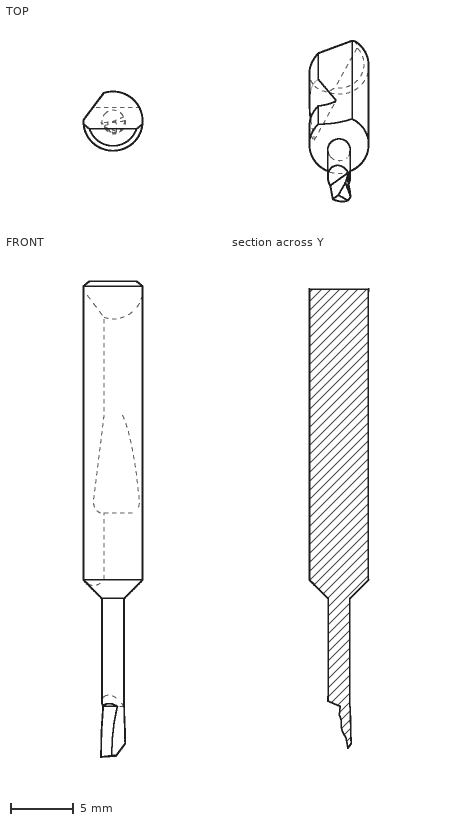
import cadquery as cq
import math

OVERALL_LENGTH = 38.1
NECK_TOP_Z = 12.7
HEAD_TOP_Z = 4.05

SHANK_RADIUS = 4.76 / 2
NECK_RADIUS = 0.9
SHANK_BOTTOM_Z = NECK_TOP_Z + SHANK_RADIUS - NECK_RADIUS
END_CHAMFER = 0.4

FLAT_DISTANCE = 1.95
FLAT_NORMAL_ANGLE = 143

BEVEL_EDGE_Y = -0.62

NOTCH_TOP_Z = 28.1
NOTCH_BOTTOM_Z = 19.55
NOTCH_DEPTH = 1.25
NOTCH_ARC_RADIUS = 0.95

TIP_RADIUS = 1.0
TIP_CUTTING_X = -0.97
TIP_RELIEF_X = -0.1
TIP_RAKE_Y = -0.07
MIDDLE_Z = 2.7
MIDDLE_RADIUS = 0.95
MIDDLE_CUTTING_X = -0.9
MIDDLE_RELIEF_X = 0.08
MIDDLE_BACK_Y = 0.22
TOP_CUTTING_X = -0.8
TOP_RELIEF_X = 0.34
TOP_BACK_Y = 0.36

BACK_CHAMFER_X = 0.17
BACK_CHAMFER_HEIGHT = 1.1
END_CLEARANCE_ANGLE = 4

CUTTER_SIZE = 4 * SHANK_RADIUS


def chord_half(radius, offset):
    """Half length of the chord lying at the given offset from the circle centre."""
    return math.sqrt(radius**2 - offset**2)


def section_corners(radius, cutting_x, relief_x, back_y):
    """Cutting, relief and back corners of a head section, all on its circle."""
    cutting = (cutting_x, -chord_half(radius, cutting_x))
    relief = (relief_x, -chord_half(radius, relief_x))
    back = (chord_half(radius, back_y), back_y)
    return cutting, relief, back


TIP_CORNERS = (
    (TIP_CUTTING_X, TIP_RAKE_Y),
    (TIP_RELIEF_X, -chord_half(TIP_RADIUS, TIP_RELIEF_X)),
    (chord_half(TIP_RADIUS, TIP_RAKE_Y), TIP_RAKE_Y),
)
MIDDLE_CORNERS = section_corners(MIDDLE_RADIUS, MIDDLE_CUTTING_X, MIDDLE_RELIEF_X, MIDDLE_BACK_Y)
TOP_CORNERS = section_corners(NECK_RADIUS, TOP_CUTTING_X, TOP_RELIEF_X, TOP_BACK_Y)


def make_turned_body():
    """Shank, cone and neck as one revolved profile."""
    return (
        cq.Workplane("XZ")
        .moveTo(0, HEAD_TOP_Z)
        .lineTo(NECK_RADIUS, HEAD_TOP_Z)
        .lineTo(NECK_RADIUS, NECK_TOP_Z)
        .lineTo(SHANK_RADIUS, SHANK_BOTTOM_Z)
        .lineTo(SHANK_RADIUS, OVERALL_LENGTH - END_CHAMFER)
        .lineTo(SHANK_RADIUS - END_CHAMFER, OVERALL_LENGTH)
        .lineTo(0, OVERALL_LENGTH)
        .close()
        .revolve(360, (0, 0, 0), (0, 1, 0))
    )


def make_flat_cutter():
    """Block outside the shank flat."""
    return (
        cq.Workplane("XY")
        .box(CUTTER_SIZE, CUTTER_SIZE, OVERALL_LENGTH, centered=(False, True, False))
        .translate((FLAT_DISTANCE, 0, NECK_TOP_Z))
        .rotate((0, 0, 0), (0, 0, 1), FLAT_NORMAL_ANGLE)
    )


def make_end_bevel_cutter():
    """Triangular prism above the 45 degree bevel of the top end."""
    outer_y = CUTTER_SIZE
    drop = outer_y - BEVEL_EDGE_Y
    return (
        cq.Workplane("YZ")
        .moveTo(BEVEL_EDGE_Y, OVERALL_LENGTH)
        .lineTo(outer_y, OVERALL_LENGTH - drop)
        .lineTo(outer_y, OVERALL_LENGTH)
        .close()
        .extrude(SHANK_RADIUS, both=True)
    )


def make_notch_cutter():
    """Notch with a long sloping wall and a quarter-round floor."""
    floor_y = SHANK_RADIUS - NOTCH_DEPTH
    arc_end_y = floor_y + NOTCH_ARC_RADIUS
    arc_start_z = NOTCH_BOTTOM_Z + NOTCH_ARC_RADIUS
    arc_inset = NOTCH_ARC_RADIUS * math.sqrt(0.5)
    return (
        cq.Workplane("YZ")
        .moveTo(SHANK_RADIUS, NOTCH_TOP_Z)
        .lineTo(floor_y, arc_start_z)
        .threePointArc((arc_end_y - arc_inset, arc_start_z - arc_inset), (arc_end_y, NOTCH_BOTTOM_Z))
        .lineTo(CUTTER_SIZE, NOTCH_BOTTOM_Z)
        .lineTo(CUTTER_SIZE, NOTCH_TOP_Z)
        .close()
        .extrude(SHANK_RADIUS, both=True)
    )


def make_neck_bevel_cutter(start, end):
    """45 degree wedge under the neck, on the left of the line from start to end."""
    direction = cq.Vector(end[0] - start[0], end[1] - start[1], 0)
    plane = cq.Plane(
        origin=(start[0], start[1], HEAD_TOP_Z),
        xDir=(-direction.y, direction.x, 0),
        normal=(direction.x, direction.y, 0),
    )
    reach = 2 * NECK_RADIUS
    return (
        cq.Workplane(plane)
        .polyline([(0, 0), (reach, 0), (reach, reach)])
        .close()
        .extrude(CUTTER_SIZE, both=True)
    )


def make_head_section(z, radius, corners):
    """Head outline at height z: relief chord, round back and rake chord."""
    cutting, relief, back = corners
    relief_angle = math.atan2(relief[1], relief[0])
    back_angle = math.atan2(back[1], back[0])
    arc_angle = (relief_angle + back_angle) / 2
    arc_middle = (radius * math.cos(arc_angle), radius * math.sin(arc_angle))
    outline = (
        cq.Workplane("XY", origin=(0, 0, z))
        .moveTo(*cutting)
        .lineTo(*relief)
        .threePointArc(arc_middle, back)
        .close()
    )
    return outline.val()


def make_back_chamfer_cutter():
    """Triangular prism below the chamfer of the back corner."""
    width = TIP_RADIUS - BACK_CHAMFER_X
    return (
        cq.Workplane("XZ")
        .moveTo(BACK_CHAMFER_X, 0)
        .line(2 * width, 2 * BACK_CHAMFER_HEIGHT)
        .line(0, -2 * BACK_CHAMFER_HEIGHT)
        .close()
        .extrude(CUTTER_SIZE, both=True)
    )


def make_end_clearance_cutter():
    """Block under the end face, which rises from the cutting corner towards +X and -Y."""
    slope = math.tan(math.radians(END_CLEARANCE_ANGLE))
    cutting_corner = TIP_CORNERS[0]
    plane = cq.Plane(
        origin=(cutting_corner[0], cutting_corner[1], 0),
        xDir=(1, 0, slope),
        normal=(slope, -slope, -1),
    )
    return cq.Workplane(plane).rect(CUTTER_SIZE, CUTTER_SIZE).extrude(TIP_RADIUS)


def make_head():
    """Twisted cutting head between the tip and the neck."""
    sections = [
        make_head_section(0, TIP_RADIUS, TIP_CORNERS),
        make_head_section(MIDDLE_Z, MIDDLE_RADIUS, MIDDLE_CORNERS),
        make_head_section(HEAD_TOP_Z, NECK_RADIUS, TOP_CORNERS),
    ]
    head = cq.Workplane(cq.Solid.makeLoft(sections))
    head = head.cut(make_back_chamfer_cutter())
    return head.cut(make_end_clearance_cutter())


top_cutting, top_relief, top_back = TOP_CORNERS

body = make_turned_body()
body = body.cut(make_flat_cutter())
body = body.cut(make_end_bevel_cutter())
body = body.cut(make_notch_cutter())
body = body.cut(make_neck_bevel_cutter(top_cutting, top_back))
body = body.cut(make_neck_bevel_cutter(top_relief, top_cutting))
result = body.union(make_head())